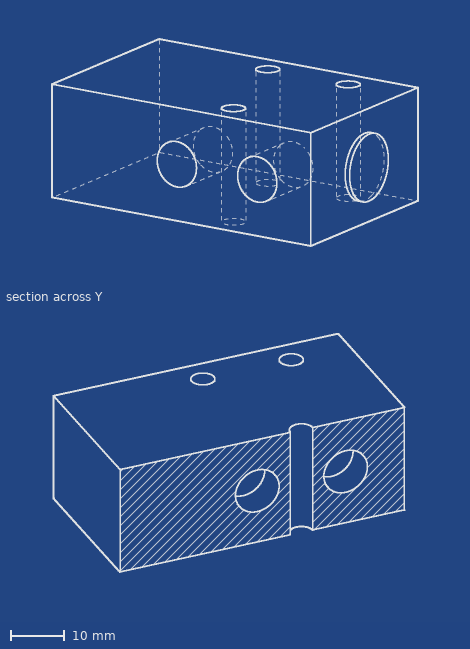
import cadquery as cq

block_length = 58.0
block_width = 36.0
block_height = 22.0

boss_diameter = 13.0
boss_height = 1.0

port_diameter = 8.8
port_depth = 12.0
port_spacing = 18.0
first_port_x = 28.0
second_port_x = first_port_x + port_spacing

mount_diameter = 4.5
mount_edge_distance = 5.5
front_mount_y = mount_edge_distance
rear_mount_y = block_width - mount_edge_distance
mount_points = [
    (first_port_x, rear_mount_y),
    (second_port_x, rear_mount_y),
    ((first_port_x + second_port_x) / 2, front_mount_y),
]


def make_block():
    return cq.Workplane("XY").box(block_length, block_width, block_height, centered=False)


def make_end_boss():
    end_plane = cq.Workplane("YZ", origin=(block_length, block_width / 2, block_height / 2))
    return end_plane.circle(boss_diameter / 2).extrude(boss_height)


def make_port(x):
    mouth_plane = cq.Workplane("XZ", origin=(x, 0, block_height / 2))
    return mouth_plane.circle(port_diameter / 2).extrude(-port_depth)


def make_mounting_holes():
    base_plane = cq.Workplane("XY").pushPoints(mount_points)
    return base_plane.circle(mount_diameter / 2).extrude(block_height)


result = make_block().union(make_end_boss())
for port_x in (first_port_x, second_port_x):
    result = result.cut(make_port(port_x))
result = result.cut(make_mounting_holes())